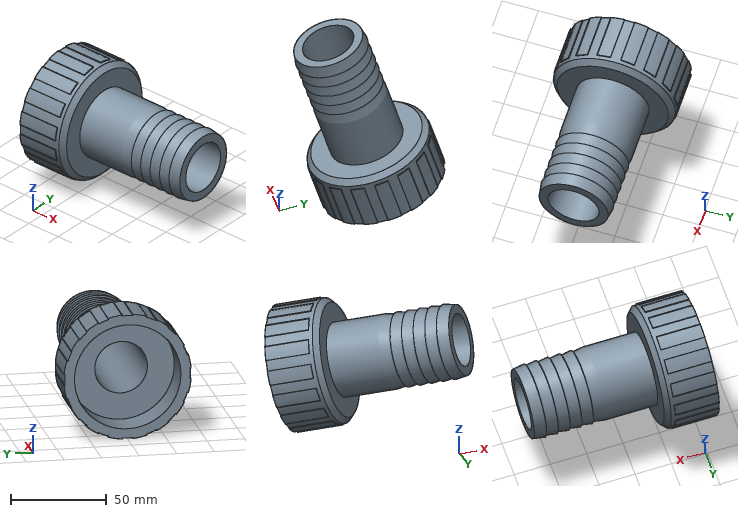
import cadquery as cq
import math

total_length = 97.0

nut_radius = 66.8 / 2
nut_length = 29.3
nut_chamfer = 2.9
socket_diameter = 56.6
socket_depth = 18.0

rib_count = 16
rib_outer_radius = 33.95
rib_length = 24.25
rib_gap_width = 5.6

tail_radius = 40.0 / 2
bore_diameter = 28.0
barb_count = 6
barb_zone_length = 38.8
barb_drop = 1.1


def nut_body():
    """Round nut blank, chamfered at the tail side."""
    blank = cq.Workplane("YZ").circle(nut_radius).extrude(nut_length)
    return blank.faces(">X").chamfer(nut_chamfer)


def grip_ribs():
    """Thin ring cut into ribs by evenly spaced flutes, one of them centred on +Z."""
    ring = cq.Workplane("YZ").circle(rib_outer_radius).circle(socket_diameter / 2).extrude(rib_length)
    flute_floor = nut_radius * math.cos(math.asin(rib_gap_width / 2 / nut_radius))
    flute_height = rib_outer_radius
    flute = cq.Workplane("XY").box(rib_length, rib_gap_width, flute_height, centered=(False, True, False))
    flute = flute.translate((0, 0, flute_floor))
    for index in range(rib_count):
        angle = index * 360 / rib_count
        ring = ring.cut(flute.rotate((0, 0, 0), (1, 0, 0), angle))
    return ring


def hose_tail():
    """Plain shank followed by barbs that each taper towards the free end."""
    barb_start = total_length - barb_zone_length
    barb_pitch = barb_zone_length / barb_count
    profile = cq.Workplane("XY").lineTo(0, tail_radius)
    for index in range(barb_count):
        crest_x = barb_start + index * barb_pitch
        profile = profile.lineTo(crest_x, tail_radius)
        profile = profile.lineTo(crest_x + barb_pitch, tail_radius - barb_drop)
    profile = profile.lineTo(total_length, 0).close()
    return profile.revolve(360, (0, 0, 0), (1, 0, 0))


socket = cq.Workplane("YZ").circle(socket_diameter / 2).extrude(socket_depth)
bore = cq.Workplane("YZ").circle(bore_diameter / 2).extrude(total_length)

result = nut_body().union(grip_ribs()).union(hose_tail()).cut(socket).cut(bore)